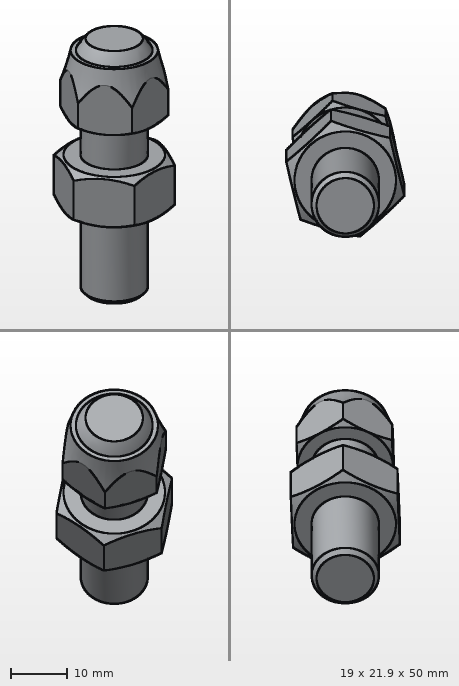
import cadquery as cq
import math

total_length = 50.0
shank_diameter = 12.0
tip_chamfer = 0.9

collar_across_flats = 19.0
collar_bottom_z = 17.0
collar_height = 10.0
collar_face_radius = 0.95 * collar_across_flats / 2
head_across_flats = 17.0
head_bottom_z = 35.0
hex_chamfer_angle = 30.0

taper_bottom_z = 40.8
taper_flare_radius = 50.0
shoulder_z = 47.7
shoulder_radius = 7.77

dome_base_radius = 6.82
dome_top_radius = 5.1
dome_profile_radius = 7.5


def corner_radius(across_flats):
    """Distance from the axis to a hexagon corner."""
    return across_flats / math.sqrt(3)


def hex_prism(across_flats, bottom_z, height):
    """Hexagonal prism on the Z axis with corners on the Y axis."""
    return (
        cq.Workplane("XY", origin=(0, 0, bottom_z))
        .polygon(6, 2 * corner_radius(across_flats))
        .extrude(height)
        .rotate((0, 0, 0), (0, 0, 1), 90)
    )


def chamfer_drop(across_flats, face_radius):
    """Height of a conical chamfer between its face circle and the hexagon corners."""
    return (corner_radius(across_flats) - face_radius) * math.tan(math.radians(hex_chamfer_angle))


def revolve_profile(profile):
    """Turn a closed radius/height profile around the Z axis."""
    return profile.close().revolve(360, (0, 0, 0), (0, 1, 0))


def make_shank():
    shank = cq.Workplane("XY").circle(shank_diameter / 2).extrude(shoulder_z)
    return shank.faces("<Z").chamfer(tip_chamfer)


def make_collar():
    """Hexagonal collar chamfered on both faces."""
    outer = corner_radius(collar_across_flats)
    drop = chamfer_drop(collar_across_flats, collar_face_radius)
    collar_top_z = collar_bottom_z + collar_height
    envelope = revolve_profile(
        cq.Workplane("XZ")
        .moveTo(0, collar_bottom_z)
        .lineTo(collar_face_radius, collar_bottom_z)
        .lineTo(outer, collar_bottom_z + drop)
        .lineTo(outer, collar_top_z - drop)
        .lineTo(collar_face_radius, collar_top_z)
        .lineTo(0, collar_top_z)
    )
    return hex_prism(collar_across_flats, collar_bottom_z, collar_height).intersect(envelope)


def make_head():
    """Hexagonal head, chamfered below and tapering to a stepped, domed end above."""
    outer = corner_radius(head_across_flats)
    face_radius = head_across_flats / 2
    drop = chamfer_drop(head_across_flats, face_radius)
    envelope = revolve_profile(
        cq.Workplane("XZ")
        .moveTo(0, head_bottom_z)
        .lineTo(face_radius, head_bottom_z)
        .lineTo(outer, head_bottom_z + drop)
        .lineTo(outer, taper_bottom_z)
        .radiusArc((shoulder_radius, shoulder_z), taper_flare_radius)
        .lineTo(dome_base_radius, shoulder_z)
        .radiusArc((dome_top_radius, total_length), -dome_profile_radius)
        .lineTo(0, total_length)
    )
    return hex_prism(head_across_flats, head_bottom_z, total_length - head_bottom_z).intersect(envelope)


result = make_shank().union(make_collar()).union(make_head())